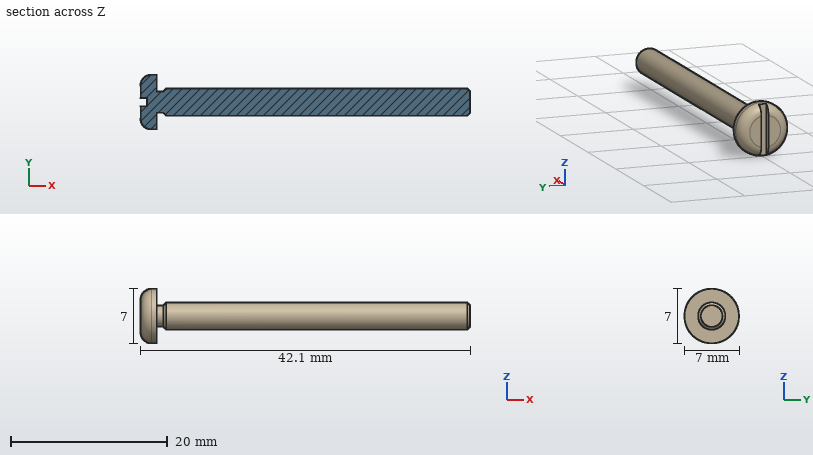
import cadquery as cq

head_diameter = 7.0
head_height = 2.1
head_rounding = 1.4
slot_width = 1.0
slot_depth = 0.84

shank_diameter = 3.5
shank_length = 40.0
neck_diameter = 2.76
neck_length = 0.83
chamfer = (shank_diameter - neck_diameter) / 2


def cylinder_along_x(start, length, diameter):
    return cq.Workplane("YZ", origin=(start, 0, 0)).circle(diameter / 2).extrude(length)


def make_head():
    """Disc with its outer face rounded over and a driver slot along Z."""
    disc = cylinder_along_x(-head_height, head_height, head_diameter)
    rounded = disc.faces("<X").edges().fillet(head_rounding)
    slot = cq.Workplane("XY").box(slot_depth, slot_width, head_diameter, centered=(False, True, True))
    return rounded.cut(slot.translate((-head_height, 0, 0)))


def make_shank():
    """Full-diameter shank chamfered at both ends, joined to the head by a thinner neck."""
    neck = cylinder_along_x(0, neck_length, neck_diameter)
    body = cylinder_along_x(neck_length, shank_length - neck_length, shank_diameter)
    chamfered = body.faces("<X or >X").edges().chamfer(chamfer)
    return neck.union(chamfered)


result = make_head().union(make_shank())